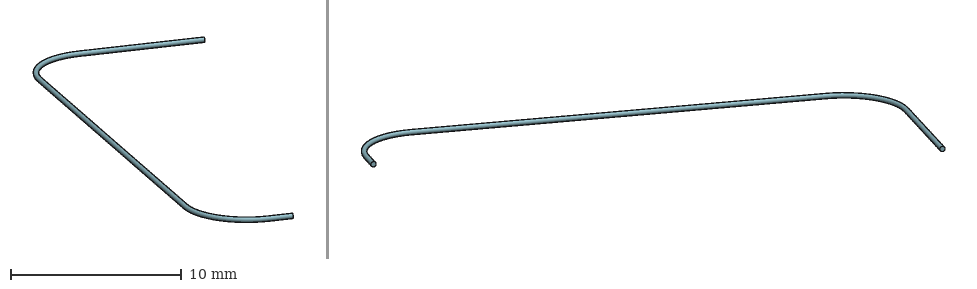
import cadquery as cq

wire_diameter = 0.33
overall_length = 33.2
overall_depth = 11.76
bend_radius = 3.8
short_leg_straight = 1.5
long_leg_tip = 4.0

wire_radius = wire_diameter / 2
leg_x = overall_length / 2 - wire_radius
bend_start_x = leg_x - bend_radius
long_leg_end_y = overall_depth - wire_radius
long_leg_seam_y = long_leg_end_y - long_leg_tip
short_leg_end_y = bend_radius + short_leg_straight


def straight_wire(start, length, direction):
    """Round straight piece of wire, starting at a point on the centreline."""
    return cq.Workplane(
        cq.Solid.makeCylinder(wire_radius, length, cq.Vector(*start), cq.Vector(*direction))
    )


def quarter_bend(side):
    """Quarter-circle bend from the main run into a leg; side is -1 (-X) or +1 (+X)."""
    section = cq.Workplane("YZ", origin=(side * bend_start_x, 0, 0)).circle(wire_radius)
    return section.revolve(90, (bend_radius, 0, 0), (bend_radius, side, 0))


def leg(side, start_y, end_y):
    """Straight leg piece along Y; side is -1 (-X) or +1 (+X)."""
    return straight_wire((side * leg_x, start_y, 0), end_y - start_y, (0, 1, 0))


main_run = straight_wire((-bend_start_x, 0, 0), 2 * bend_start_x, (1, 0, 0))
long_leg = leg(-1, bend_radius, long_leg_seam_y)
long_leg_end = leg(-1, long_leg_seam_y, long_leg_end_y)
short_leg = leg(1, bend_radius, short_leg_end_y)

result = main_run
for piece in (quarter_bend(-1), quarter_bend(1), long_leg, long_leg_end, short_leg):
    result = result.union(piece)